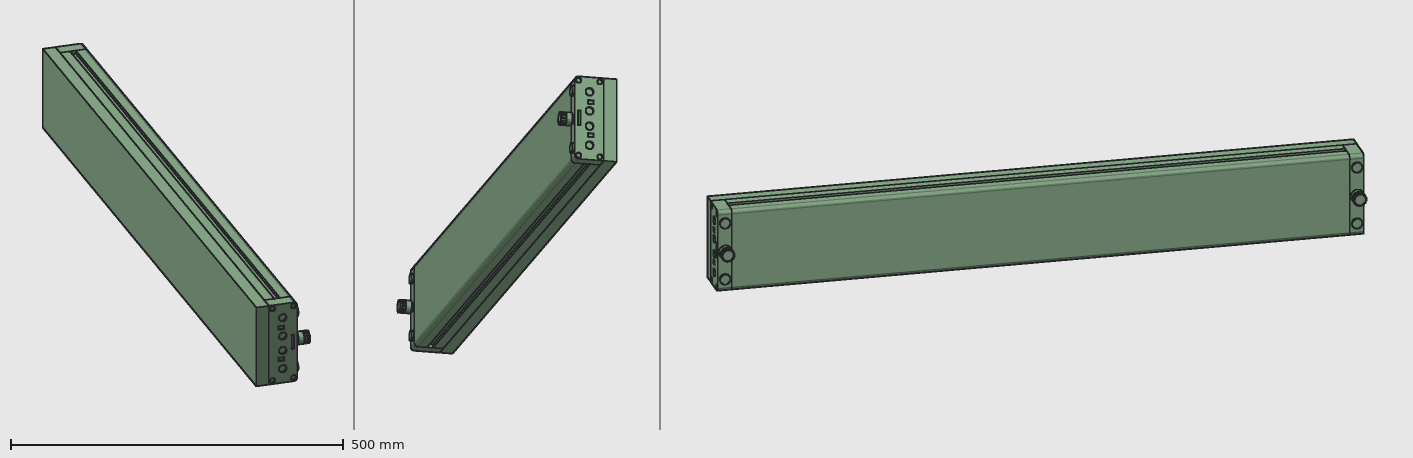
import cadquery as cq
import math

LENGTH = 1000.0
HEIGHT = 130.0
PANEL_DEPTH = 20.0
BACK_Y = 65.0
CAP_LENGTH = 22.0
BACK_EDGE_RADIUS = 6.0

GROOVE_FRONT_Y = 36.0
GROOVE_WIDTH = 9.0
GROOVE_DEPTH = 5.0

KNOB_BACK_Y = 86.0
KNOB_DIAMETER = 20.0
KNOB_HEAD_LENGTH = 18.0
KNURL_LENGTH = 9.0
KNURL_COUNT = 16
KNURL_NOTCH_DIAMETER = 3.0
NECK_DIAMETER = 14.0

PAD_THICKNESS = 3.0
PAD_DIAMETER = 16.0
PAD_CENTRE_Z = 45.0

RECESS_DEPTH = 3.0
HOLE_CENTRE_Y = 42.0
HOLE_CENTRES_Z = (12.0, 42.0)
HOLE_DIAMETER = 12.0
SOCKET_WIDTH = 9.0
SOCKET_HEIGHT = 6.0
SOCKET_CENTRE_Y = 40.0
SOCKET_CENTRE_Z = 26.0
SLOT_WIDTH = 4.0
SLOT_HEIGHT = 23.0
SLOT_CENTRE_Y = 58.0
SCREW_DIAMETER = 8.0
SCREW_INSET = 6.0

BODY_DEPTH = BACK_Y - PANEL_DEPTH
PROFILE_LENGTH = LENGTH - 2 * CAP_LENGTH
CAP_CENTRE_X = (LENGTH - CAP_LENGTH) / 2


def box(size, centre):
    """Box of the given X, Y, Z size about a centre point."""
    return cq.Workplane("XY").box(*size).translate(centre)


def cylinder_y(diameter, start_y, length, x=0, z=0):
    """Cylinder along +Y, starting at start_y."""
    base = cq.Solid.makeCylinder(diameter / 2, length, cq.Vector(x, start_y, z), cq.Vector(0, 1, 0))
    return cq.Workplane(obj=base)


def housing_block(length, centre_x):
    """Block behind the panel with both long back edges rounded."""
    block = box((length, BODY_DEPTH, HEIGHT), (centre_x, PANEL_DEPTH + BODY_DEPTH / 2, 0))
    return block.edges("|X and >Y").fillet(BACK_EDGE_RADIUS)


def make_panel():
    return box((LENGTH, PANEL_DEPTH, HEIGHT), (0, PANEL_DEPTH / 2, 0))


def make_profile():
    profile = housing_block(PROFILE_LENGTH, 0)
    groove_y = GROOVE_FRONT_Y + GROOVE_WIDTH / 2
    for side in (-1, 1):
        groove_z = side * (HEIGHT - GROOVE_DEPTH) / 2
        profile = profile.cut(box((PROFILE_LENGTH, GROOVE_WIDTH, GROOVE_DEPTH), (0, groove_y, groove_z)))
    return profile


def make_knob():
    """Neck and knurled head, standing on the back face of the left end cap."""
    head_y = KNOB_BACK_Y - KNOB_HEAD_LENGTH
    knob = cylinder_y(KNOB_DIAMETER, head_y, KNOB_HEAD_LENGTH, -CAP_CENTRE_X)
    notch_y = KNOB_BACK_Y - KNURL_LENGTH
    for index in range(KNURL_COUNT):
        angle = 2 * math.pi * index / KNURL_COUNT
        notch_x = -CAP_CENTRE_X + KNOB_DIAMETER / 2 * math.cos(angle)
        notch_z = KNOB_DIAMETER / 2 * math.sin(angle)
        knob = knob.cut(cylinder_y(KNURL_NOTCH_DIAMETER, notch_y, KNURL_LENGTH, notch_x, notch_z))
    return knob.union(cylinder_y(NECK_DIAMETER, BACK_Y, head_y - BACK_Y, -CAP_CENTRE_X))


def box_recess(width, height, y, z):
    """Rectangular cutter for a recess in the outer face of the left end cap."""
    return box((RECESS_DEPTH, width, height), ((RECESS_DEPTH - LENGTH) / 2, y, z))


def round_recess(diameter, y, z):
    """Round cutter for a recess in the outer face of the left end cap."""
    start = cq.Vector(-LENGTH / 2, y, z)
    return cq.Workplane(obj=cq.Solid.makeCylinder(diameter / 2, RECESS_DEPTH, start, cq.Vector(1, 0, 0)))


def make_left_cap():
    cap = housing_block(CAP_LENGTH, -CAP_CENTRE_X)
    cap = cap.cut(box_recess(SLOT_WIDTH, SLOT_HEIGHT, SLOT_CENTRE_Y, 0))
    for side in (-1, 1):
        cap = cap.union(cylinder_y(PAD_DIAMETER, BACK_Y, PAD_THICKNESS, -CAP_CENTRE_X, side * PAD_CENTRE_Z))
        cap = cap.cut(box_recess(SOCKET_WIDTH, SOCKET_HEIGHT, SOCKET_CENTRE_Y, side * SOCKET_CENTRE_Z))
        for hole_z in HOLE_CENTRES_Z:
            cap = cap.cut(round_recess(HOLE_DIAMETER, HOLE_CENTRE_Y, side * hole_z))
        for screw_y in (PANEL_DEPTH + SCREW_INSET, BACK_Y - SCREW_INSET):
            cap = cap.cut(round_recess(SCREW_DIAMETER, screw_y, side * (HEIGHT / 2 - SCREW_INSET)))
    return cap.union(make_knob())


panel = make_panel()
profile = make_profile()
left_cap = make_left_cap()
end_caps = [left_cap, left_cap.mirror("YZ")]

result = cq.Compound.makeCompound([panel.val(), profile.val(), *[cap.val() for cap in end_caps]])